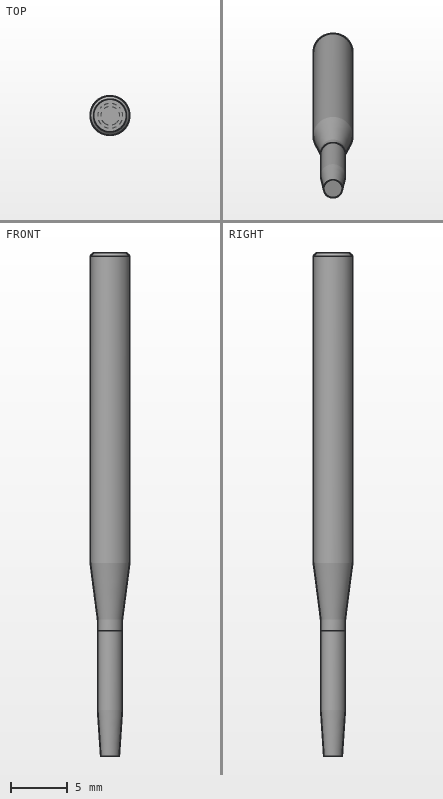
import cadquery as cq


shank_diameter = 3.5
neck_diameter = 2.2
tip_diameter = 1.65

overall_length = 44.5
tip_taper_length = 4.1
cutting_length = 11.1
neck_length = 1.0
neck_taper_length = 5.0
end_chamfer = 0.3

shank_radius = shank_diameter / 2
neck_radius = neck_diameter / 2
tip_radius = tip_diameter / 2

neck_top = cutting_length + neck_length
shank_bottom = neck_top + neck_taper_length


def revolve_profile(outer_points, bottom, top):
    """Turn an outer profile of (radius, height) points into a solid about the Z axis."""
    profile = [(0, bottom), *outer_points, (0, top)]
    return cq.Workplane("XZ").polyline(profile).close().revolve(360, (0, 0), (0, 1))


def make_cutting_head():
    """Tapered tip that runs into a straight cylinder."""
    outline = [
        (tip_radius, 0),
        (neck_radius, tip_taper_length),
        (neck_radius, cutting_length),
    ]
    return revolve_profile(outline, 0, cutting_length)


def make_shank():
    """Short neck, conical transition and long shank with a chamfered end."""
    outline = [
        (neck_radius, cutting_length),
        (neck_radius, neck_top),
        (shank_radius, shank_bottom),
        (shank_radius, overall_length - end_chamfer),
        (shank_radius - end_chamfer, overall_length),
    ]
    return revolve_profile(outline, cutting_length, overall_length)


cutting_head = make_cutting_head()
shank = make_shank()

result = cq.Compound.makeCompound([cutting_head.val(), shank.val()])